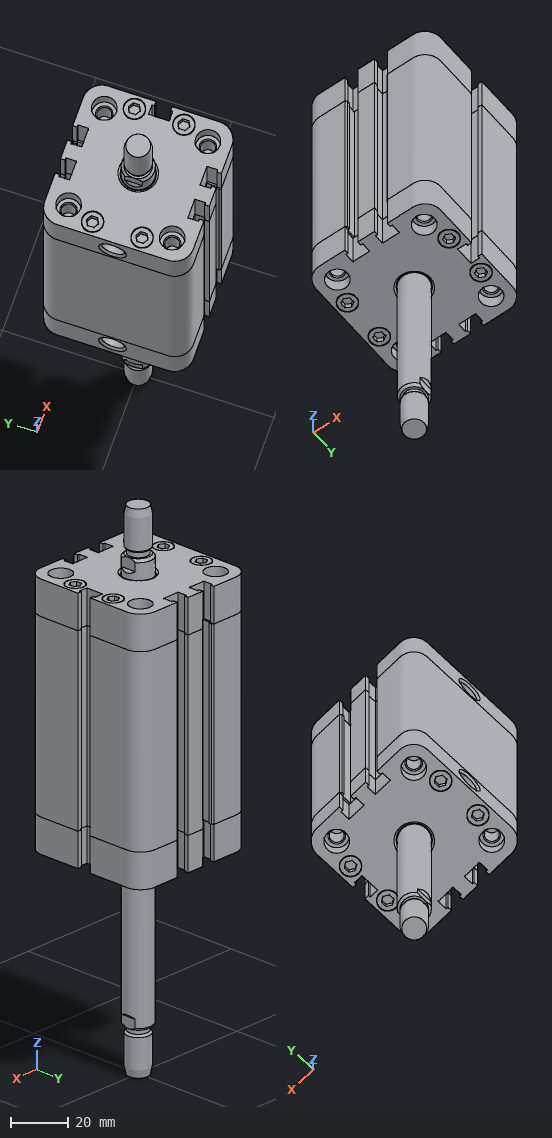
import cadquery as cq


width = 55.0
corner_radius = 7.0
body_length = 105.0
cap_length = 14.3
half_width = width / 2
half_body = body_length / 2
barrel_length = body_length - 2 * cap_length
half_barrel = barrel_length / 2

slot_mouth_inner = 3.7
slot_mouth_outer = 9.3
slot_undercut = 0.9
slot_lip = 1.7
slot_depth = 5.6
barrel_slot_inset = 0.7
side_slot_width = 5.9
side_slot_depth = 5.5

mount_hole_offset = 19.0
mount_counterbore_diameter = 9.0
mount_counterbore_depth = 5.5
mount_chamfer_diameter = 6.0
mount_hole_diameter = 5.2
screw_x = 22.4
screw_y = 9.1
screw_recess_diameter = 7.8
screw_head_diameter = 7.5
screw_gap_depth = 0.5
socket_across_flats = 4.0
socket_depth = 2.2
port_height = 44.5
port_diameter = 8.5
port_rim_diameter = 10.2
port_floor_diameter = 40.0
rod_rim_diameter = 14.0
rod_seat_diameter = 12.5

rod_diameter = 12.0
top_reach = 26.0
bottom_reach = 86.0
thread_diameter = 10.0
thread_length = 15.8
tip_diameter = 8.7
tip_length = 3.3
neck_diameter = 8.2
neck_chamfer = (thread_diameter - neck_diameter) / 2
shoulder_position = 18.7
shoulder_diameter = 10.0
shoulder_chamfer_length = 1.0
flat_end = 23.2
flat_across = 10.0
flat_runout = 1.0


def rounded_block(bottom, length):
    block = cq.Workplane("XY").workplane(offset=bottom).rect(width, width).extrude(length)
    return block.edges("|Z").fillet(corner_radius)


def cylinder(diameter, bottom, length):
    return cq.Workplane("XY").workplane(offset=bottom).circle(diameter / 2).extrude(length)


def cone(bottom, bottom_diameter, top, top_diameter):
    profile = [(0, bottom), (bottom_diameter / 2, bottom), (top_diameter / 2, top), (0, top)]
    return cq.Workplane("XZ").polyline(profile).close().revolve(360, (0, 0), (0, 1))


def four_copies(shape, x, y):
    """Copies of a shape at every sign of (x, y)."""
    copies = cq.Workplane("XY")
    for sign_x in (-1, 1):
        for sign_y in (-1, 1):
            copies = copies.add(shape.translate((sign_x * x, sign_y * y, 0)))
    return copies.combine()


def undercut_slot(near, far, depth, bevel=0):
    """Full-length slot in the +Y face, its mouth from x = near to x = far.

    A bevel widens the far side of the mouth at the face.
    """
    floor = half_width - depth
    lip = half_width - slot_lip
    outline = [
        (near, half_width),
        (near, lip),
        (near - slot_undercut, lip),
        (near - slot_undercut, floor),
        (far + slot_undercut, floor),
        (far + slot_undercut, lip),
        (far, lip),
    ]
    if bevel:
        outline.append((far, half_width - bevel))
    outline.append((far + bevel, half_width))
    return cq.Workplane("XY").polyline(outline).close().extrude(half_body, both=True)


def sensor_slots(outer_inset=0):
    """Two slots in each Y face and one in the +X face."""
    mouth_outer = slot_mouth_outer - outer_inset
    slot = undercut_slot(slot_mouth_inner, mouth_outer, slot_depth, outer_inset)
    pair = slot.union(slot.mirror("YZ"))
    side = undercut_slot(-side_slot_width / 2, side_slot_width / 2, side_slot_depth)
    return pair.union(pair.mirror("XZ")).union(side.rotate((0, 0, 0), (0, 0, 1), -90))


def mount_holes():
    """Counterbored corner holes that run through the cap."""
    step = half_body - mount_counterbore_depth
    chamfer = (mount_chamfer_diameter - mount_hole_diameter) / 2
    hole = cylinder(mount_counterbore_diameter, step, mount_counterbore_depth)
    hole = hole.union(cone(step - chamfer, mount_hole_diameter, step, mount_chamfer_diameter))
    hole = hole.union(cylinder(mount_hole_diameter, half_barrel, step - half_barrel))
    return four_copies(hole, mount_hole_offset, mount_hole_offset)


def screw_heads():
    """Thin ring gaps and hexagon sockets that form the flush screw heads."""
    floor = half_body - screw_gap_depth
    gap = cylinder(screw_recess_diameter, floor, screw_gap_depth)
    gap = gap.cut(cylinder(screw_head_diameter, floor, screw_gap_depth))
    socket = (
        cq.Workplane("XY")
        .workplane(offset=half_body - socket_depth)
        .polygon(6, socket_across_flats, circumscribed=True)
        .extrude(socket_depth)
    )
    return four_copies(gap, screw_x, screw_y).add(four_copies(socket, screw_x, screw_y)).combine()


def port():
    """Air port in the -X face with a chamfered rim and a floor curved about the rod axis."""
    rim = (port_rim_diameter - port_diameter) / 2
    bore = cylinder(port_diameter, 0, half_width)
    bore = bore.union(cone(half_width - rim, port_diameter, half_width, port_rim_diameter))
    bore = bore.rotate((0, 0, 0), (0, 1, 0), -90).translate((0, 0, port_height))
    return bore.cut(cylinder(port_floor_diameter, half_barrel, cap_length))


def make_cap():
    """The upper cap; the lower one is its mirror image."""
    rim = (rod_rim_diameter - rod_seat_diameter) / 2
    cap = rounded_block(half_barrel, cap_length).cut(sensor_slots())
    cap = cap.cut(mount_holes()).cut(screw_heads()).cut(port())
    cap = cap.cut(cylinder(rod_diameter, half_barrel, cap_length))
    return cap.cut(cone(half_body - rim, rod_seat_diameter, half_body, rod_rim_diameter))


def make_barrel():
    barrel = rounded_block(-half_barrel, barrel_length)
    barrel = barrel.cut(sensor_slots(barrel_slot_inset))
    return barrel.cut(cylinder(rod_diameter, -half_barrel, barrel_length))


def rod_half(reach):
    """The upper half of the rod, from the middle of the body to the tip."""
    tip = half_body + reach
    shoulder = tip - shoulder_position
    profile = [
        (0, 0),
        (rod_diameter / 2, 0),
        (rod_diameter / 2, shoulder - shoulder_chamfer_length),
        (shoulder_diameter / 2, shoulder),
        (neck_diameter / 2, shoulder),
        (neck_diameter / 2, tip - thread_length - neck_chamfer),
        (thread_diameter / 2, tip - thread_length),
        (thread_diameter / 2, tip - tip_length),
        (tip_diameter / 2, tip),
        (0, tip),
    ]
    half = cq.Workplane("XZ").polyline(profile).close().revolve(360, (0, 0), (0, 1))
    flat_bottom = tip - flat_end
    flat = (
        cq.Workplane("XZ")
        .moveTo(flat_across / 2, shoulder)
        .lineTo(flat_across / 2, flat_bottom)
        .lineTo(rod_diameter / 2, flat_bottom - flat_runout)
        .lineTo(rod_diameter / 2, shoulder)
        .close()
        .extrude(rod_diameter / 2, both=True)
    )
    return half.cut(flat).cut(flat.mirror("YZ"))


def make_rod():
    return rod_half(top_reach).union(rod_half(bottom_reach).mirror("XY"))


upper_cap = make_cap()
lower_cap = upper_cap.mirror("XY")
barrel = make_barrel()
rod = make_rod()

result = cq.Compound.makeCompound(
    [upper_cap.val(), lower_cap.val(), barrel.val(), rod.val()]
)